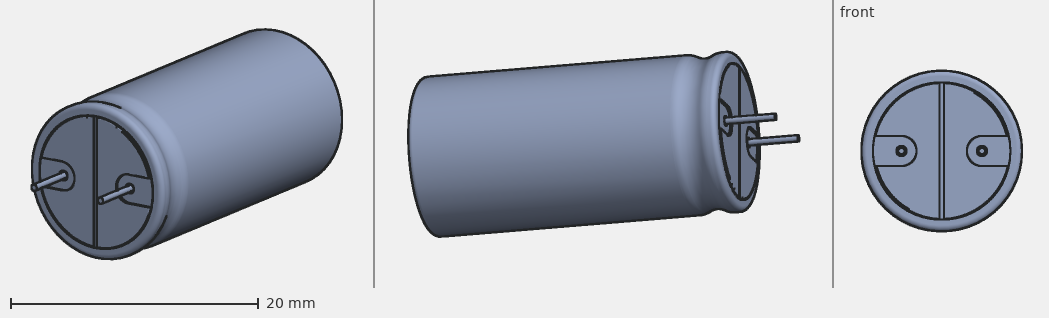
import cadquery as cq
import math

total_length = 30.1
can_diameter = 13.0
lead_length = 4.0
lead_diameter = 0.55
lead_spacing = 6.5

can_radius = can_diameter / 2
edge_radius = 0.45
rim_recess_diameter = 11.1
seal_proud = 0.1
seal_step = 0.18

groove_centre = 2.3
groove_depth = 0.4
groove_half_width = 1.5
groove_inflection = 0.87

seal_diameter = 11.0
slot_width = 0.35
pad_width = 2.45
seal_edge_radius = 0.1
lead_hole_diameter = 0.63
lead_hole_mouth_diameter = 0.8
lead_hole_depth = 0.2

lead_tip_y = -total_length / 2
back_y = total_length / 2
seal_face_y = lead_tip_y + lead_length
rim_y = seal_face_y + seal_proud
floor_y = seal_face_y + seal_step


def disc(diameter, start_y, end_y, x=0.0):
    """Round bar along Y between two stations."""
    return (
        cq.Workplane("XZ", origin=(x, start_y, 0))
        .circle(diameter / 2)
        .extrude(start_y - end_y)
    )


def make_can():
    """Can with rounded ends and a groove of three tangent arcs, revolved about Y."""
    groove_y = rim_y + groove_centre
    slope = 2 * math.atan(groove_depth / groove_half_width)
    waist_arc_radius = groove_inflection / math.sin(slope)
    shoulder_arc_radius = (groove_half_width - groove_inflection) / math.sin(slope)
    inflection_radius = can_radius - shoulder_arc_radius * (1 - math.cos(slope))
    flat_radius = can_radius - edge_radius
    return (
        cq.Workplane("XY")
        .moveTo(0, rim_y)
        .lineTo(flat_radius, rim_y)
        .radiusArc((can_radius, rim_y + edge_radius), -edge_radius)
        .lineTo(can_radius, groove_y - groove_half_width)
        .radiusArc((inflection_radius, groove_y - groove_inflection), -shoulder_arc_radius)
        .radiusArc((inflection_radius, groove_y + groove_inflection), waist_arc_radius)
        .radiusArc((can_radius, groove_y + groove_half_width), -shoulder_arc_radius)
        .lineTo(can_radius, back_y - edge_radius)
        .radiusArc((flat_radius, back_y), -edge_radius)
        .lineTo(0, back_y)
        .close()
        .revolve(360, (0, 0, 0), (0, 1, 0))
    )


def make_pad_pocket(side):
    """Round-ended pocket around one lead, open towards the rim."""
    lead_x = side * lead_spacing / 2
    round_end = disc(pad_width, seal_face_y, floor_y, lead_x)
    straight = (
        cq.Workplane("XZ", origin=(lead_x + side * can_radius / 2, seal_face_y, 0))
        .rect(can_radius, pad_width)
        .extrude(-seal_step)
    )
    return round_end.union(straight)


def make_seal():
    """Raised seal face split by a straight slot, with a pocket at each lead."""
    slot = (
        cq.Workplane("XZ", origin=(0, seal_face_y, 0))
        .rect(slot_width, can_diameter)
        .extrude(-seal_step)
    )
    seal = disc(seal_diameter, seal_face_y, floor_y)
    seal = seal.faces("<Y").edges().fillet(seal_edge_radius)
    seal = seal.cut(slot)
    for side in (-1, 1):
        seal = seal.cut(make_pad_pocket(side))
    return seal


def make_lead_hole(x):
    """Shallow hole around a lead, with a chamfered mouth."""
    mouth_chamfer = (lead_hole_mouth_diameter - lead_hole_diameter) / 2
    hole = disc(lead_hole_diameter, floor_y, floor_y + lead_hole_depth, x)
    mouth = cq.Solid.makeCone(
        lead_hole_mouth_diameter / 2,
        lead_hole_diameter / 2,
        mouth_chamfer,
        cq.Vector(x, floor_y, 0),
        cq.Vector(0, 1, 0),
    )
    return hole.union(cq.Workplane(mouth))


def make_lead(x):
    """Round lead from its tip to the bottom of its hole."""
    return disc(lead_diameter, lead_tip_y, floor_y + lead_hole_depth, x)


result = make_can()
result = result.cut(disc(rim_recess_diameter, rim_y, floor_y))
for lead_x in (-lead_spacing / 2, lead_spacing / 2):
    result = result.cut(make_lead_hole(lead_x))
    result = result.union(make_lead(lead_x))
result = result.union(make_seal())